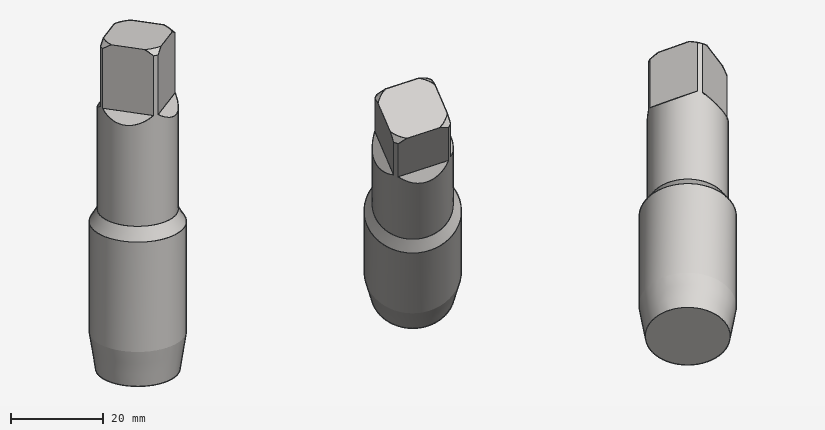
import cadquery as cq

total_height = 79.5

head_radius = 10.5
head_height = 35.05
lead_tip_radius = 9.15
lead_height = 8.8

shank_radius = 8.75
shoulder_height = 2.95
end_chamfer = 1.2

square_width = 13.1
square_length = 15.4
flat_depth = shank_radius - square_width / 2
flat_bottom = total_height - square_length
runout_bottom = flat_bottom - flat_depth


def make_head():
    """Cylindrical cutting head with a tapered lead at the bottom."""
    return (
        cq.Workplane("XZ")
        .polyline([
            (0, 0),
            (lead_tip_radius, 0),
            (head_radius, lead_height),
            (head_radius, head_height),
            (0, head_height),
        ])
        .close()
        .revolve(360, (0, 0, 0), (0, 1, 0))
    )


def make_round_shank():
    """Round shank with a conical shoulder below and a chamfered top end."""
    return (
        cq.Workplane("XZ")
        .polyline([
            (0, head_height),
            (head_radius, head_height),
            (shank_radius, head_height + shoulder_height),
            (shank_radius, total_height - end_chamfer),
            (shank_radius - end_chamfer, total_height),
            (0, total_height),
        ])
        .close()
        .revolve(360, (0, 0, 0), (0, 1, 0))
    )


def make_flat_cutter():
    """Material removed from the +X side of the shank to form one flat and its sloped runout."""
    return (
        cq.Workplane("XZ")
        .polyline([
            (shank_radius, runout_bottom),
            (square_width / 2, flat_bottom),
            (square_width / 2, total_height),
            (shank_radius, total_height),
        ])
        .close()
        .extrude(shank_radius, both=True)
    )


def make_shank():
    """Shank with four flats forming the driving square."""
    shank = make_round_shank()
    for angle in (0, 90, 180, 270):
        shank = shank.cut(make_flat_cutter().rotate((0, 0, 0), (0, 0, 1), angle))
    return shank


head = make_head()
shank = make_shank()

result = cq.Compound.makeCompound([head.val(), *shank.solids().vals()])